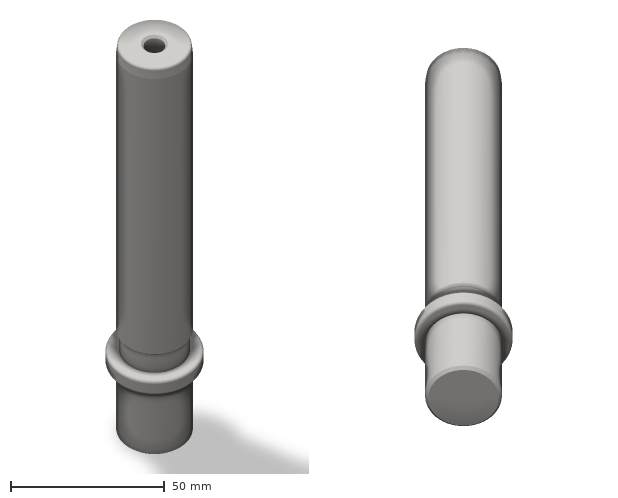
import cadquery as cq

length = 170.0
shaft_diameter = 25.0
shaft_radius = shaft_diameter / 2
neck_radius = 11.5
collar_radius = 16.0

collar_bottom = 30.0
collar_height = 6.0
collar_top = collar_bottom + collar_height
shaft_bottom = 44.9

edge_chamfer = 1.0
rim_fillet = 1.0
relief_drop = 1.4
neck_chamfer = shaft_radius - neck_radius
lead_in_height = 4.0
lead_in_radius = 12.0
top_fillet = 0.8

hole_radius = 3.5
hole_mouth_radius = 4.5
hole_chamfer = hole_mouth_radius - hole_radius
hole_depth = 17.0


def revolve_profile(points):
    """Revolve a closed (radius, height) outline about the Z axis."""
    return cq.Workplane("XZ").polyline(points).close().revolve(360, (0, 0, 0), (0, 1, 0))


pin = revolve_profile([
    (0, 0),
    (shaft_radius - edge_chamfer, 0),
    (shaft_radius, edge_chamfer),
    (shaft_radius, collar_bottom - relief_drop),
    (neck_radius, collar_bottom - relief_drop + neck_chamfer),
    (neck_radius, collar_bottom),
    (collar_radius, collar_bottom),
    (collar_radius, collar_top),
    (neck_radius, collar_top),
    (neck_radius, shaft_bottom - neck_chamfer),
    (shaft_radius, shaft_bottom),
    (shaft_radius, length - lead_in_height),
    (lead_in_radius, length),
    (0, length),
])

rim_edges = cq.selectors.RadiusNthSelector(-1)
pin = pin.edges(rim_edges).fillet(rim_fillet)
pin = pin.faces(">Z").edges().fillet(top_fillet)

bore = revolve_profile([
    (0, length - hole_depth),
    (hole_radius, length - hole_depth),
    (hole_radius, length - hole_chamfer),
    (hole_mouth_radius, length),
    (0, length),
])

result = pin.cut(bore)